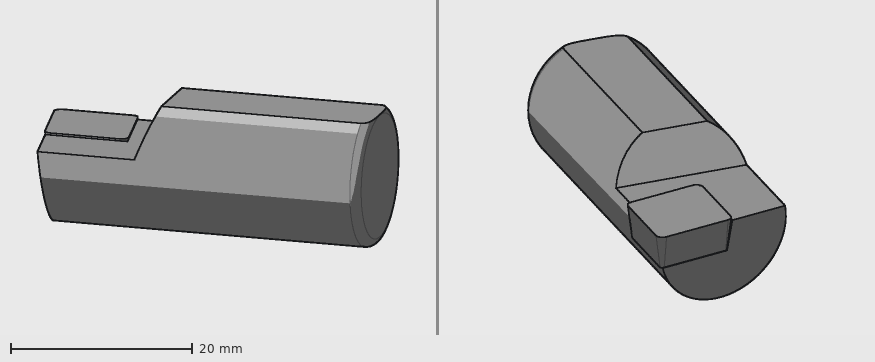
import cadquery as cq
import math

length = 40.0
shank_radius = 8.0
flat_height = 7.0
rear_fillet = 1.0

seat_height = 1.75
step_start = 14.05
step_lean = 20.0

insert_width = 9.5
insert_top = 2.0
insert_thickness = 4.0
insert_side_y = 8.5
corner_radius = 0.8
edge_lean = 10.0
relief_angle = 7.0
face_setback = 0.1

lean = math.radians(edge_lean)
relief = math.radians(relief_angle)
insert_side = insert_width / math.cos(lean)
edge_shift = insert_width * math.tan(lean)
nose_x = corner_radius * (1 - (1 + math.sin(lean)) / math.cos(lean))


def rhombus_prism(radius=0.0):
    """Tapered rhombic prism below the insert's top plane, with optional corner rounding."""
    inner_y = insert_side_y - insert_width
    outline = cq.Sketch().polygon([
        (nose_x, insert_side_y),
        (nose_x + insert_side, insert_side_y),
        (nose_x + insert_side + edge_shift, inner_y),
        (nose_x + edge_shift, inner_y),
        (nose_x, insert_side_y),
    ])
    if radius > 0:
        outline = outline.vertices().fillet(radius)
    return (
        cq.Workplane("XY", origin=(0, 0, insert_top))
        .placeSketch(outline)
        .extrude(-insert_thickness, taper=relief_angle)
    )


def front_face_x(y, z):
    """X of the sloping front face, set slightly behind the insert's front flank."""
    along_lean = (insert_side_y - y) * math.tan(lean)
    along_relief = (insert_top - z) * math.tan(relief) / math.cos(lean)
    return nose_x + face_setback + along_lean + along_relief


def round_bar():
    """Full round bar with its rear rim filleted."""
    return (
        cq.Workplane("YZ", origin=(nose_x, 0, 0))
        .circle(shank_radius)
        .extrude(length - nose_x)
        .faces(">X").edges().fillet(rear_fillet)
    )


def profile_block():
    """Side profile of the shank, with the flat, the leaning step and the seat, as a wide block."""
    step_end = step_start + (flat_height - seat_height) * math.tan(math.radians(step_lean))
    return (
        cq.Workplane("XZ")
        .polyline([
            (nose_x, -shank_radius),
            (length, -shank_radius),
            (length, flat_height),
            (step_end, flat_height),
            (step_start, seat_height),
            (nose_x, seat_height),
        ])
        .close()
        .extrude(shank_radius, both=True)
    )


def front_block():
    """Block behind the sloping front face."""
    def section(z):
        return cq.Wire.makePolygon([
            cq.Vector(front_face_x(shank_radius, z), shank_radius, z),
            cq.Vector(length, shank_radius, z),
            cq.Vector(length, -shank_radius, z),
            cq.Vector(front_face_x(-shank_radius, z), -shank_radius, z),
        ], close=True)

    return cq.Solid.makeLoft([section(-shank_radius), section(shank_radius)], True)


def make_holder():
    """Shank with a sharp-cornered pocket for the insert."""
    return (
        round_bar()
        .intersect(profile_block())
        .intersect(cq.Workplane(front_block()))
        .cut(rhombus_prism())
    )


holder = make_holder()
insert = rhombus_prism(corner_radius)
result = cq.Compound.makeCompound([holder.solids().val(), insert.val()])